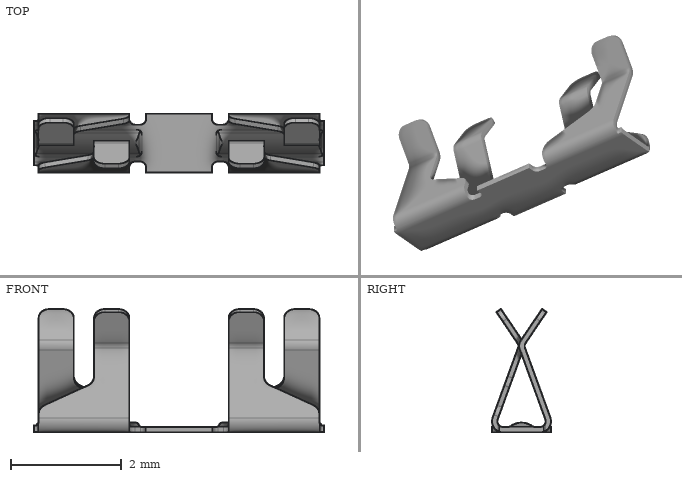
import cadquery as cq
import math

length = 5.25
width = 1.07
height = 2.23
thickness = 0.1
outer_bend = 2 * thickness
inner_bend = outer_bend - thickness

plate_half_length = 0.6
neck_half_width = width / 2 - outer_bend
neck_fillet = 0.1
lip_length = 0.085
lip_half_width = 0.405
lip_fillet = 0.025

clip_start = -length / 2 + lip_length
clip_end = -0.9
clip_middle = (clip_start + clip_end) / 2
tab_width = 0.64
tab_corner = 0.2
panel_lean = math.radians(20)
panel_length = 1.34
tab_lean = math.radians(34)

shoulder_rise = 0.185
shoulder_slope = math.radians(26)
shoulder_radius = 0.2

bead_height = 0.08
bead_crown_radius = 0.315
bead_foot_radius = 0.1
bead_start = -length / 2
bead_end = -0.67
bead_end_crown_radius = 0.07
bead_end_foot_radius = 0.06
bead_corner = 0.09


def polar(start, distance, angle):
    """Point at a distance and angle from a start point in a 2D plane."""
    return (start[0] + distance * math.cos(angle), start[1] + distance * math.sin(angle))


panel_direction = math.pi / 2 - panel_lean
panel_normal = math.pi - panel_lean
foot_center = (-neck_half_width, outer_bend)
foot_tangent = polar(foot_center, outer_bend, panel_normal)
kink_level = polar(foot_center, outer_bend + inner_bend, panel_normal)
kink_center = polar(kink_level, panel_length, panel_direction)
tab_direction = math.pi / 2 + tab_lean
tab_length = (height - kink_center[1] - outer_bend * math.sin(tab_lean)) / math.cos(tab_lean)


def leg_surface(foot_radius, kink_radius):
    """Points along one face of the leg: arc, straight panel, arc, straight tab."""
    foot_turn = math.pi / 2 + panel_lean
    foot_points = [
        polar(foot_center, foot_radius, -math.pi / 2 - share * foot_turn) for share in (0, 0.5, 1)
    ]
    kink_points = [
        polar(kink_center, kink_radius, angle)
        for angle in (-panel_lean, (tab_lean - panel_lean) / 2, tab_lean)
    ]
    tip = polar(kink_points[2], tab_length, tab_direction)
    return foot_points, kink_points, tip


def leg_strip(start, end):
    """Bent sheet of the -Y leg between two X positions."""
    outer_foot, outer_kink, outer_tip = leg_surface(outer_bend, inner_bend)
    inner_foot, inner_kink, inner_tip = leg_surface(inner_bend, outer_bend)
    return (
        cq.Workplane("YZ", origin=(start, 0, 0))
        .moveTo(*outer_foot[0])
        .threePointArc(outer_foot[1], outer_foot[2])
        .lineTo(*outer_kink[0])
        .threePointArc(outer_kink[1], outer_kink[2])
        .lineTo(*outer_tip)
        .lineTo(*inner_tip)
        .lineTo(*inner_kink[2])
        .threePointArc(inner_kink[1], inner_kink[0])
        .lineTo(*inner_foot[2])
        .threePointArc(inner_foot[1], inner_foot[0])
        .close()
        .extrude(end - start)
    )


def shoulder_cutter():
    """Removes the sheet above the sloping shoulder and beside the tab, square to the panel."""
    normal = (0, math.cos(panel_normal), math.sin(panel_normal))
    plane = cq.Plane(origin=(clip_start, *foot_tangent), xDir=(1, 0, 0), normal=normal)
    shoulder_length = clip_end - tab_width - clip_start
    slope = math.tan(shoulder_slope)
    turn = math.pi / 2 - shoulder_slope
    setback = shoulder_radius * math.tan(turn / 2)

    low_corner = (0, shoulder_rise)
    high_corner = (shoulder_length, shoulder_rise + shoulder_length * slope)
    low_center = (shoulder_radius, low_corner[1] - setback)
    high_center = (shoulder_length - shoulder_radius, high_corner[1] + setback)
    middle_angle = math.pi - turn / 2
    return (
        cq.Workplane(plane)
        .moveTo(*polar(low_center, shoulder_radius, math.pi))
        .threePointArc(
            polar(low_center, shoulder_radius, middle_angle),
            polar(low_corner, setback, shoulder_slope),
        )
        .lineTo(*polar(high_corner, -setback, shoulder_slope))
        .threePointArc(
            polar(high_center, shoulder_radius, middle_angle - math.pi),
            polar(high_center, shoulder_radius, 0),
        )
        .lineTo(shoulder_length, 2 * height)
        .lineTo(-lip_length, 2 * height)
        .lineTo(-lip_length, low_center[1])
        .close()
        .extrude(width, both=True)
    )


def corner_fillet(x, y, radius, side):
    """Concave fillet block below a wall at x, filling toward side (+1 or -1) in X and -Y."""
    diagonal = radius * (1 - math.sqrt(0.5))
    return (
        cq.Workplane("XY")
        .moveTo(x, y)
        .lineTo(x + side * radius, y)
        .threePointArc((x + side * diagonal, y - diagonal), (x, y - radius))
        .close()
        .extrude(outer_bend)
    )


def leg():
    """-Y leg: bent strip with a sloping shoulder and a round-cornered tab."""
    body = leg_strip(clip_start, clip_end).cut(shoulder_cutter())
    tip_zone = cq.selectors.BoxSelector(
        (-length, -width, height - 2 * thickness), (length, width, height + thickness)
    )
    return body.edges(tip_zone).edges("not |X").fillet(tab_corner)


def leg_margins():
    """Curled base edge beside the -Y leg: the end lip and the fillets into the leg."""
    lip = cq.Workplane("XY", origin=(-length / 2, -lip_half_width, 0)).box(
        lip_length, lip_half_width - neck_half_width, outer_bend, centered=False
    )
    plan = lip.union(corner_fillet(clip_start, -lip_half_width, lip_fillet, -1))
    plan = plan.union(corner_fillet(clip_end, -neck_half_width, neck_fillet, 1))
    return leg_strip(-length / 2, clip_end + neck_fillet).intersect(plan)


def bead_profile(plane, middle, half_flat, crown_radius, foot_radius):
    """Side-on bead outline: crown arcs rounding into concave feet, down through the base."""
    sweep = math.acos(1 - bead_height / (crown_radius + foot_radius))
    shoulder_run = crown_radius * math.sin(sweep)
    shoulder_drop = crown_radius * (1 - math.cos(sweep))
    top = thickness + bead_height
    foot_run = (crown_radius + foot_radius) * math.sin(sweep)

    def edge(side):
        crown_arc_center = (middle + side * half_flat, top - crown_radius)
        foot_arc_center = (middle + side * (half_flat + foot_run), thickness + foot_radius)
        foot_middle_angle = -math.pi / 2 - side * sweep / 2
        return {
            "top": (crown_arc_center[0], top),
            "crown_middle": polar(crown_arc_center, crown_radius, math.pi / 2 - side * sweep / 2),
            "shoulder": (crown_arc_center[0] + side * shoulder_run, top - shoulder_drop),
            "foot_middle": polar(foot_arc_center, foot_radius, foot_middle_angle),
            "foot": (foot_arc_center[0], thickness),
        }

    left = edge(-1)
    right = edge(1)
    outline = (
        cq.Workplane(plane)
        .moveTo(left["foot"][0], 0)
        .lineTo(*left["foot"])
        .threePointArc(left["foot_middle"], left["shoulder"])
        .threePointArc(left["crown_middle"], left["top"])
    )
    if half_flat > 0:
        outline = outline.lineTo(*right["top"])
    return (
        outline.threePointArc(right["crown_middle"], right["shoulder"])
        .threePointArc(right["foot_middle"], right["foot"])
        .lineTo(right["foot"][0], 0)
        .close()
        .extrude(length, both=True)
    )


def bead():
    """Arched bead: the long section and the cross-section meet, with rounded plan corners."""
    end_radii = bead_end_crown_radius + bead_end_foot_radius
    end_run = math.sqrt(end_radii**2 - (end_radii - bead_height) ** 2)
    half_flat = (bead_end - bead_start) / 2 - end_run
    middle = (bead_start + bead_end) / 2
    across = bead_profile("YZ", 0, 0, bead_crown_radius, bead_foot_radius)
    lengthwise = bead_profile("XZ", middle, half_flat, bead_end_crown_radius, bead_end_foot_radius)
    side_radii = bead_crown_radius + bead_foot_radius
    bead_width = 2 * math.sqrt(side_radii**2 - (side_radii - bead_height) ** 2)
    footprint = (
        cq.Workplane("XY")
        .center(middle, 0)
        .rect(bead_end - bead_start, bead_width)
        .extrude(outer_bend)
        .edges("|Z")
        .fillet(bead_corner)
    )
    return across.intersect(lengthwise).intersect(footprint)


def base():
    """Flat base: a long strip with the wide middle plate filleted into it."""
    plate = cq.Workplane("XY").rect(2 * plate_half_length, width).extrude(thickness)
    strip = cq.Workplane("XY").rect(length, 2 * neck_half_width).extrude(thickness)
    inner_corners = cq.selectors.BoxSelector(
        (-plate_half_length - thickness, -neck_half_width - thickness, -thickness),
        (plate_half_length + thickness, neck_half_width + thickness, 2 * thickness),
    )
    return strip.union(plate).edges("|Z").edges(inner_corners).fillet(neck_fillet)


def clip_pieces():
    """Parts of the -X clip: two legs half a turn apart, their margins and the bead."""
    front_leg = leg()
    back_leg = front_leg.rotate((clip_middle, 0, 0), (clip_middle, 0, 1), 180)
    front_margins = leg_margins()
    back_margins = front_margins.mirror("XZ")
    return [front_margins, back_margins, bead(), front_leg, back_leg]


result = base()
for piece in clip_pieces():
    result = result.union(piece).union(piece.mirror("YZ"))